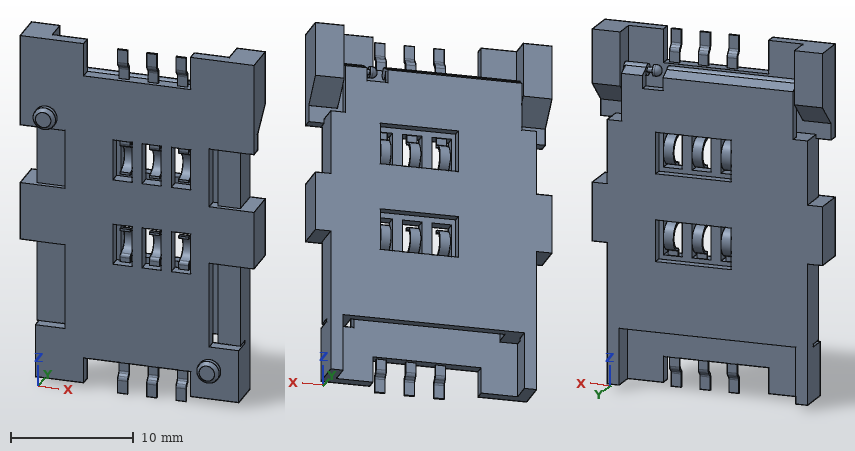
import cadquery as cq
import math


length = 30.0
thickness = 3.0
half_width = 10.0
half_width_narrow = 8.7
floor_thickness = 1.0
floor_half_width = 6.17
cutout_half_width = 4.57
cutout_bottom_z = 2.2
cutout_top_z = 27.15
contact_mid_z = (cutout_bottom_z + cutout_top_z) / 2

foot_top_z = 4.6
tab_bottom_z = 12.0
tab_top_z = 17.0
head_bottom_z = 22.1
foot_channel_half_width = 7.66
head_channel_half_width = 7.57
ramp_low_z = 23.5
ramp_high_z = 25.4

cover_bottom_z = 4.83
arm_top_z = 22.45
arm_front_y = 0.41
left_arm_inner_x = -6.25
right_arm_inner_x = 6.78
panel_inner_y = 2.2
panel_half_width = 7.45
hinge_slot_y = 1.64

barrel_radius = 0.5
barrel_y = panel_inner_y - barrel_radius
barrel_z = cutout_top_z - barrel_radius
slope_front_y = 2.1
slope_drop = 0.45
notch_left_x = 3.85
notch_right_x = 5.63
notch_floor_z = 25.4

pin_tip_x = 4.43
pin_back_x = 5.1
pin_head_radius = 0.48
pin_stem_radius = 0.22

contact_xs = (-1.25, 1.25, 3.75)
contact_width = 0.86
contact_thickness = 0.2
spring_root_y = 0.7
spring_crest_y = 2.03
spring_anchor_length = 0.5
tail_root_y = 0.4
tail_length = 2.71
tail_bend_start = 0.99
bend_angle = 45
bend_inner_radius = 0.25
bend_outer_radius = bend_inner_radius + contact_thickness
window_width = 1.64
window_height = 3.53
upper_window_z = 18.28
lower_window_z = 10.83
cover_slot_right_x = 4.5
upper_tip_z = 18.57
upper_root_z = 21.18
lower_tip_z = 13.76
lower_root_z = 11.3
root_inner_radius = 0.08
root_outer_radius = root_inner_radius + contact_thickness

post_centres = ((-7.8, 23.1), (6.2, 2.53))
post_radius = 0.96
post_tip_radius = 0.66
post_height = 0.7
post_straight = 0.4


def box(x0, x1, y0, y1, z0, z1):
    """Box between two opposite corners."""
    return cq.Workplane("XY").box(x1 - x0, y1 - y0, z1 - z0, centered=False).translate((x0, y0, z0))


def symmetric_box(half, y0, y1, z0, z1):
    """Box centred on x = 0."""
    return box(-half, half, y0, y1, z0, z1)


def extrude_yz(profile, x0, x1):
    """Extrude a closed profile, drawn in YZ, from x0 to x1."""
    return profile.extrude(x1 - x0).translate((x0, 0, 0))


def make_foot():
    foot = symmetric_box(half_width_narrow, 0, thickness, 0, foot_top_z)
    channel = symmetric_box(foot_channel_half_width, floor_thickness, thickness, 0, foot_top_z)
    return foot.cut(channel)


def make_head():
    profile = cq.Workplane("YZ").polyline([
        (0, head_bottom_z),
        (floor_thickness, head_bottom_z),
        (floor_thickness, ramp_low_z),
        (thickness, ramp_high_z),
        (thickness, length),
        (0, length),
    ]).close()
    head = extrude_yz(profile, -half_width, half_width)
    channel = symmetric_box(head_channel_half_width, floor_thickness, thickness, head_bottom_z, length)
    return head.cut(channel)


def make_middle_tabs():
    tabs = symmetric_box(half_width, 0, thickness, tab_bottom_z, tab_top_z)
    opening = box(left_arm_inner_x, right_arm_inner_x, floor_thickness, thickness, tab_bottom_z, tab_top_z)
    return tabs.cut(opening)


def make_housing():
    floor = symmetric_box(floor_half_width, 0, floor_thickness, 0, length)
    housing = floor.union(make_foot()).union(make_head()).union(make_middle_tabs())
    for z0, z1 in ((0, cutout_bottom_z), (cutout_top_z, length)):
        housing = housing.cut(symmetric_box(cutout_half_width, 0, floor_thickness, z0, z1))
    return housing


def make_cover_panel():
    slope_front_z = barrel_z + math.sqrt(barrel_radius**2 - (slope_front_y - barrel_y) ** 2)
    profile = cq.Workplane("YZ").polyline([
        (panel_inner_y, cover_bottom_z),
        (thickness, cover_bottom_z),
        (thickness, slope_front_z - slope_drop),
        (slope_front_y, slope_front_z),
        (barrel_y, barrel_z),
        (panel_inner_y, barrel_z),
    ]).close()
    return extrude_yz(profile, -panel_half_width, panel_half_width)


def make_barrel():
    profile = cq.Workplane("YZ").center(barrel_y, barrel_z).circle(barrel_radius)
    return extrude_yz(profile, -head_channel_half_width, head_channel_half_width)


def make_pin():
    overlap_x = notch_right_x + barrel_radius
    dome_centre_x = pin_tip_x + pin_head_radius
    dome_diagonal = pin_head_radius * math.sqrt(0.5)
    pin = (
        cq.Workplane("XY")
        .moveTo(pin_tip_x, 0)
        .threePointArc((dome_centre_x - dome_diagonal, dome_diagonal), (dome_centre_x, pin_head_radius))
        .lineTo(pin_back_x, pin_head_radius)
        .lineTo(pin_back_x, pin_stem_radius)
        .lineTo(overlap_x, pin_stem_radius)
        .lineTo(overlap_x, 0)
        .close()
        .revolve(360, (0, 0, 0), (1, 0, 0))
    )
    return pin.translate((0, barrel_y, barrel_z))


def make_cover():
    cover = make_cover_panel().union(make_barrel())
    cover = cover.cut(box(notch_left_x, notch_right_x, 0, thickness, notch_floor_z, length))
    arms = (
        (-half_width_narrow, left_arm_inner_x),
        (right_arm_inner_x, half_width_narrow),
    )
    for x0, x1 in arms:
        cover = cover.union(box(x0, x1, arm_front_y, thickness, cover_bottom_z, arm_top_z))
    return cover.union(make_pin())


def make_hinge_ears():
    ears = symmetric_box(half_width_narrow, hinge_slot_y, thickness, foot_top_z, cover_bottom_z)
    gap = symmetric_box(foot_channel_half_width, hinge_slot_y, thickness, foot_top_z, cover_bottom_z)
    return ears.cut(gap)


def cut_windows(body):
    """Cut one window per contact through the floor and one wide slot per row through the cover."""
    half = window_width / 2
    slot_left_x = contact_xs[0] - half
    for z in (lower_window_z, upper_window_z):
        top_z = z + window_height
        for x in contact_xs:
            body = body.cut(box(x - half, x + half, 0, floor_thickness, z, top_z))
        body = body.cut(box(slot_left_x, cover_slot_right_x, panel_inner_y, thickness, z, top_z))
    return body


def fillet_across(body, y, z, x, radius):
    """Round the edge along X that passes through (x, y, z)."""
    edge = cq.selectors.NearestToPointSelector((x, y, z))
    return body.edges("|X").edges(edge).fillet(radius)


def make_tail(x, outward):
    """Z-bent solder tail; outward is +1 at the top end and -1 at the bottom end."""
    half_span = (cutout_top_z - cutout_bottom_z) / 2

    def z_at(distance):
        return contact_mid_z + outward * (half_span + distance)

    slope = math.radians(bend_angle)
    bend_end = tail_bend_start + tail_root_y / math.tan(slope)
    back_shift = contact_thickness * math.tan(slope / 2)
    back_y = tail_root_y + contact_thickness
    root_z = z_at(-contact_thickness)
    bends = (
        (tail_root_y, z_at(tail_bend_start), bend_inner_radius),
        (0, z_at(bend_end), bend_outer_radius),
        (contact_thickness, z_at(bend_end + back_shift), bend_inner_radius),
        (back_y, z_at(tail_bend_start + back_shift), bend_outer_radius),
    )
    profile = cq.Workplane("YZ").polyline([
        (tail_root_y, root_z),
        bends[0][:2],
        bends[1][:2],
        (0, z_at(tail_length)),
        (contact_thickness, z_at(tail_length)),
        bends[2][:2],
        bends[3][:2],
        (back_y, root_z),
    ]).close()
    tail = extrude_yz(profile, x - contact_width / 2, x + contact_width / 2)
    for y, z, radius in bends:
        tail = fillet_across(tail, y, z, x, radius)
    return tail


def make_spring(x, root_z, tip_z, wall_z):
    """Bowed spring that leaves the floor at the edge of its window and crests under the cover."""
    front_y = spring_root_y
    back_y = front_y + contact_thickness
    outward = math.copysign(1, root_z - tip_z)
    front_root_z = root_z - outward * contact_thickness
    front_tip_z = tip_z + outward * contact_thickness
    anchor_z = wall_z + outward * spring_anchor_length
    mid_z = (root_z + tip_z) / 2
    profile = (
        cq.Workplane("YZ")
        .moveTo(front_y, anchor_z)
        .lineTo(front_y, front_root_z)
        .threePointArc((spring_crest_y - contact_thickness, mid_z), (front_y, front_tip_z))
        .lineTo(front_y, tip_z)
        .lineTo(back_y, tip_z)
        .threePointArc((spring_crest_y, mid_z), (back_y, root_z))
        .lineTo(back_y, anchor_z)
        .close()
    )
    spring = extrude_yz(profile, x - contact_width / 2, x + contact_width / 2)
    spring = fillet_across(spring, front_y, front_root_z, x, root_outer_radius)
    return fillet_across(spring, back_y, root_z, x, root_inner_radius)


def make_post(x, z):
    post = (
        cq.Workplane("XY")
        .polyline([
            (0, floor_thickness / 2),
            (post_radius, floor_thickness / 2),
            (post_radius, -post_straight),
            (post_tip_radius, -post_height),
            (0, -post_height),
        ])
        .close()
        .revolve(360, (0, 0, 0), (0, 1, 0))
    )
    return post.translate((x, 0, z))


result = make_housing().union(make_cover()).union(make_hinge_ears())
result = cut_windows(result)
for contact_x in contact_xs:
    result = result.union(make_tail(contact_x, 1)).union(make_tail(contact_x, -1))
    upper_wall_z = upper_window_z + window_height
    result = result.union(make_spring(contact_x, upper_root_z, upper_tip_z, upper_wall_z))
    result = result.union(make_spring(contact_x, lower_root_z, lower_tip_z, lower_window_z))
for post_x, post_z in post_centres:
    result = result.union(make_post(post_x, post_z))